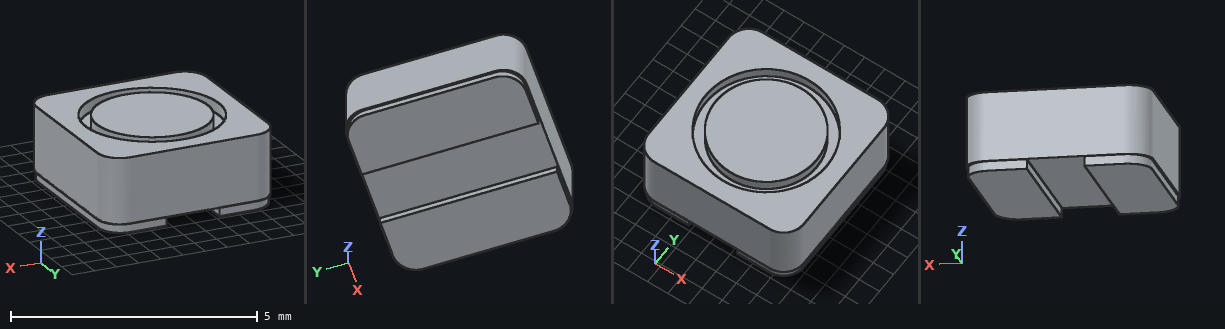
import cadquery as cq

body_side = 3.85
corner_radius = 0.5
total_height = 1.65
terminal_height = 0.2
terminal_inset = 0.027
terminal_gap = 1.195
groove_outer_diameter = 3.0
core_diameter = 2.5
groove_depth = 0.26

body_height = total_height - terminal_height
terminal_side = body_side - 2 * terminal_inset


def rounded_square(side, height, bottom):
    """Square prism with rounded vertical edges, standing on the given level."""
    return (
        cq.Workplane("XY", origin=(0, 0, bottom))
        .rect(side, side)
        .extrude(height)
        .edges("|Z")
        .fillet(corner_radius)
    )


def terminals():
    """Two end pads, left by a channel through a rounded square plate."""
    channel = cq.Workplane("XY").box(
        terminal_gap, body_side, terminal_height, centered=(True, True, False)
    )
    return rounded_square(terminal_side, terminal_height, 0).cut(channel)


def ring_groove():
    """Annular space between the shield and the round core."""
    return (
        cq.Workplane("XY", origin=(0, 0, total_height))
        .circle(groove_outer_diameter / 2)
        .circle(core_diameter / 2)
        .extrude(-groove_depth)
    )


body = rounded_square(body_side, body_height, terminal_height).cut(ring_groove())
result = body.union(terminals())